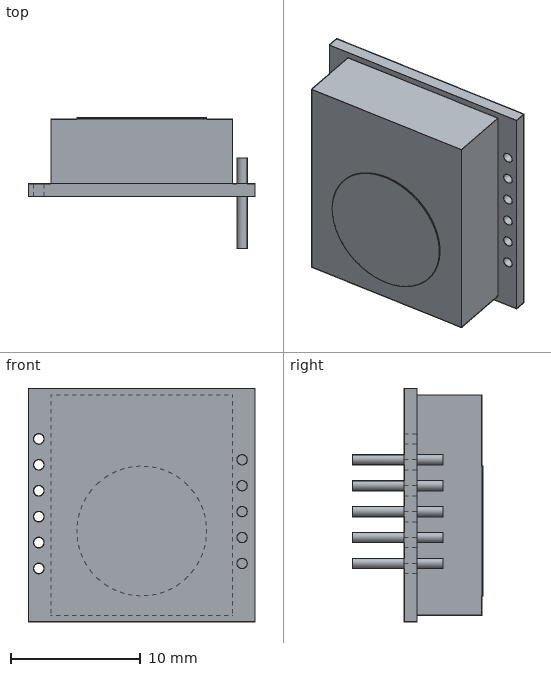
import cadquery as cq

board_width = 17.5
board_height = 18.0
board_thickness = 1.0

housing_width = 14.0
housing_height = 17.0
housing_depth = 4.99

disc_diameter = 10.0
disc_thickness = 0.1
disc_z = -2.0
disc_overlap = 0.18

pitch = 2.0
pin_diameter = 0.8
hole_edge_distance = 0.81
pin_edge_distance = 1.0
hole_column_x = -board_width / 2 + hole_edge_distance
pin_column_x = board_width / 2 - pin_edge_distance
hole_count = 6
hole_column_z = 0.1
pin_count = 5
pin_column_z = -0.5
pin_front_length = 4.0
pin_rear_length = 2.0


def column_points(x, center_z, count):
    """Evenly spaced points along Z at a fixed X."""
    first_z = center_z - pitch * (count - 1) / 2
    return [(x, first_z + pitch * i) for i in range(count)]


def block(width, height, y_start, depth):
    """Box centred on X and Z, extending towards +Y."""
    return (
        cq.Workplane("XY")
        .box(width, depth, height, centered=(True, False, True))
        .translate((0, y_start, 0))
    )


def cylinders(points, diameter, y_start, length):
    """Cylinders along +Y at the given (X, Z) points."""
    return (
        cq.Workplane("XZ", origin=(0, y_start, 0))
        .pushPoints(points)
        .circle(diameter / 2)
        .extrude(-length)
    )


board = block(board_width, board_height, 0, board_thickness)
holes = cylinders(
    column_points(hole_column_x, hole_column_z, hole_count), pin_diameter, 0, board_thickness
)
housing = block(housing_width, housing_height, board_thickness, housing_depth)
housing_rear_y = board_thickness + housing_depth
disc = cylinders(
    [(0, disc_z)], disc_diameter, housing_rear_y - disc_overlap, disc_thickness + disc_overlap
)
pins = cylinders(
    column_points(pin_column_x, pin_column_z, pin_count),
    pin_diameter,
    -pin_front_length,
    pin_front_length + board_thickness + pin_rear_length,
)

result = board.cut(holes).union(housing).union(disc).union(pins)